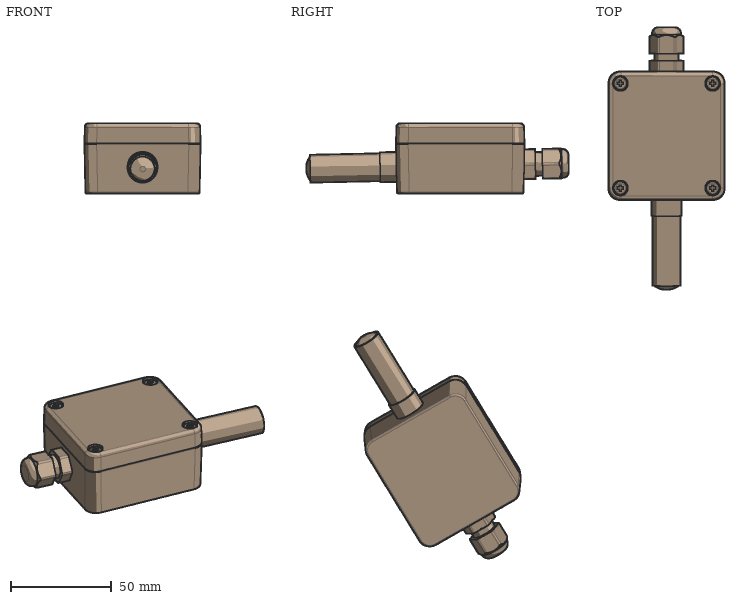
import cadquery as cq
import math

OVERALL_LENGTH = 130.7

BOX_X = 57.9
BOX_Y = 64.0
BASE_HEIGHT = 25.1
LID_HEIGHT = 10.0
BASE_DRAFT = 1.2
LID_DRAFT = 1.6
RIM_HEIGHT = 0.4
CORNER_RADIUS = 6.0
BASE_EDGE_RADIUS = 0.9
LID_EDGE_RADIUS = 2.0

SCREW_PITCH_X = 45.9
SCREW_PITCH_Y = 52.0
RECESS_DIAMETER = 7.5
RECESS_DEPTH = 2.4
HEAD_DIAMETER = 6.5
HEAD_EDGE_RADIUS = 0.8
HEAD_DROP = 0.5
HEAD_HEIGHT = RECESS_DEPTH - HEAD_DROP
CROSS_LENGTH = 3.0
CROSS_WIDTH = 1.0
CROSS_DEPTH = 1.0

AXIS_TILT = 1.2
AXIS_DROP = 11.1
SOCKET_DEPTH = 1.3
SOCKET_FLOOR = BOX_Y / 2 - SOCKET_DEPTH

NUT_FLATS = 15.0
NUT_CORNER_RADIUS = 1.3
LOWER_NUT_END = 37.4
CAP_NUT_START = 40.9
CAP_NUT_END = 50.5
GLAND_END = 54.0
NECK_DIAMETER = 12.0
DOME_DIAMETER = 14.5
DOME_EDGE_RADIUS = 3.1
CAP_CHAMFER_ANGLE = 45.0

COLLAR_DIAMETER = 15.0
COLLAR_END = 39.9
TUBE_DIAMETER = 14.0
TUBE_END = 74.6
TIP_DIAMETER = 12.0
TIP_FLAT_DIAMETER = 2.7
END_FLAT_RADII = DOME_DIAMETER / 2 - DOME_EDGE_RADIUS + TIP_FLAT_DIAMETER / 2
TILT = math.radians(AXIS_TILT)
SENSOR_END = (OVERALL_LENGTH - END_FLAT_RADII * math.sin(TILT)) / math.cos(TILT) - GLAND_END


def drafted_block(height, draft):
    """Block standing on Z = 0 that narrows upwards, with its upright edges rounded."""
    block = cq.Workplane("XY").rect(BOX_X, BOX_Y).extrude(height, taper=draft)
    return block.edges("not(#Z)").fillet(CORNER_RADIUS)


def screw_places():
    return [
        (x * SCREW_PITCH_X / 2, y * SCREW_PITCH_Y / 2)
        for x in (-1, 1)
        for y in (-1, 1)
    ]


def make_base(gland, sensor):
    rim = cq.Workplane("XY").rect(BOX_X, BOX_Y).extrude(-RIM_HEIGHT).edges("|Z").fillet(CORNER_RADIUS)
    shell = drafted_block(BASE_HEIGHT - RIM_HEIGHT, BASE_DRAFT)
    shell = shell.faces(">Z").edges().fillet(BASE_EDGE_RADIUS)
    base = shell.mirror("XY").translate((0, 0, -RIM_HEIGHT)).union(rim)
    return base.cut(gland).cut(sensor)


def make_lid():
    lid = drafted_block(LID_HEIGHT, LID_DRAFT).faces(">Z").edges().fillet(LID_EDGE_RADIUS)
    recesses = (
        cq.Workplane("XY", origin=(0, 0, LID_HEIGHT - RECESS_DEPTH))
        .pushPoints(screw_places())
        .circle(RECESS_DIAMETER / 2)
        .extrude(RECESS_DEPTH)
    )
    return lid.cut(recesses)


def make_screw(x, y):
    """Screw head with a rounded rim and a cross slot, standing on the recess floor."""
    head = (
        cq.Workplane("XY")
        .circle(HEAD_DIAMETER / 2)
        .extrude(HEAD_HEIGHT)
        .faces(">Z").edges().fillet(HEAD_EDGE_RADIUS)
    )
    slots = cq.Workplane("XY", origin=(0, 0, HEAD_HEIGHT - CROSS_DEPTH))
    for length, width in ((CROSS_LENGTH, CROSS_WIDTH), (CROSS_WIDTH, CROSS_LENGTH)):
        head = head.cut(slots.rect(length, width).extrude(CROSS_DEPTH))
    return head.translate((x, y, LID_HEIGHT - RECESS_DEPTH))


def onto_axis(body):
    """Moves a body built along Y onto the tilted axis below the parting plane."""
    tilted = body.rotate((0, 0, 0), (1, 0, 0), AXIS_TILT)
    return tilted.translate((0, 0, -AXIS_DROP))


def rod(start, end, diameter):
    """Cylinder along Y."""
    return cq.Workplane("XZ", origin=(0, end, 0)).circle(diameter / 2).extrude(end - start)


def hexagon(start, end):
    """Hexagonal prism along Y with rounded corners and flats facing up and down."""
    across_corners = NUT_FLATS / math.cos(math.radians(30))
    prism = cq.Workplane("XZ", origin=(0, end, 0)).polygon(6, across_corners).extrude(end - start)
    return prism.edges("|Y").fillet(NUT_CORNER_RADIUS)


def make_cap_nut():
    """Hexagon whose outer corners are turned down to a cone that ends at the dome."""
    end_radius = DOME_DIAMETER / 2
    outer_radius = NUT_FLATS
    cone_length = (outer_radius - end_radius) * math.tan(math.radians(CAP_CHAMFER_ANGLE))
    envelope = (
        cq.Workplane("XY")
        .moveTo(0, CAP_NUT_END)
        .lineTo(end_radius, CAP_NUT_END)
        .lineTo(outer_radius, CAP_NUT_END - cone_length)
        .lineTo(outer_radius, CAP_NUT_START)
        .lineTo(0, CAP_NUT_START)
        .close()
        .revolve(360, (0, 0, 0), (0, 1, 0))
    )
    return hexagon(CAP_NUT_START, CAP_NUT_END).intersect(envelope)


def make_gland():
    dome = rod(CAP_NUT_END, GLAND_END, DOME_DIAMETER).faces(">Y").edges().fillet(DOME_EDGE_RADIUS)
    gland = (
        hexagon(SOCKET_FLOOR, LOWER_NUT_END)
        .union(rod(LOWER_NUT_END, CAP_NUT_START, NECK_DIAMETER))
        .union(make_cap_nut())
        .union(dome)
    )
    return onto_axis(gland)


def make_sensor():
    """Turned body: collar at the wall, long tube, and a spherical tip with a small flat."""
    tip_radius = TIP_DIAMETER / 2
    flat_radius = TIP_FLAT_DIAMETER / 2
    tip_length = SENSOR_END - TUBE_END
    depth = (tip_radius**2 - flat_radius**2 - tip_length**2) / (2 * tip_length)
    sphere_radius = math.hypot(tip_radius, depth)
    middle_radius = (tip_radius + flat_radius) / 2
    middle_place = TUBE_END - depth + math.sqrt(sphere_radius**2 - middle_radius**2)
    sensor = (
        cq.Workplane("XY")
        .moveTo(0, -SOCKET_FLOOR)
        .lineTo(COLLAR_DIAMETER / 2, -SOCKET_FLOOR)
        .lineTo(COLLAR_DIAMETER / 2, -COLLAR_END)
        .lineTo(TUBE_DIAMETER / 2, -COLLAR_END)
        .lineTo(TUBE_DIAMETER / 2, -TUBE_END)
        .lineTo(tip_radius, -TUBE_END)
        .threePointArc((middle_radius, -middle_place), (flat_radius, -SENSOR_END))
        .lineTo(0, -SENSOR_END)
        .close()
        .revolve(360, (0, 0, 0), (0, 1, 0))
    )
    return onto_axis(sensor)


gland = make_gland()
sensor = make_sensor()
base = make_base(gland, sensor)
lid = make_lid()
screws = [make_screw(x, y) for x, y in screw_places()]

result = cq.Compound.makeCompound(
    [base.val(), lid.val(), gland.val(), sensor.val()] + [screw.val() for screw in screws]
)